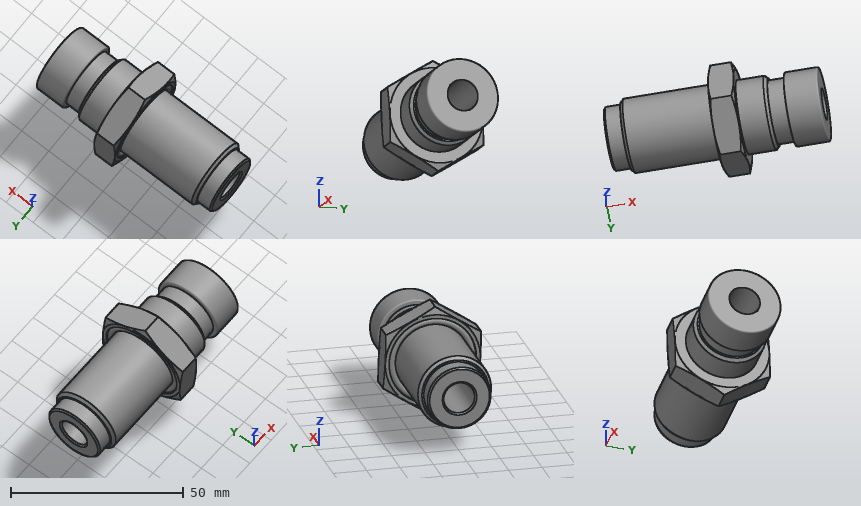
import cadquery as cq
import math

length = 63.5
insert_start = -length / 2
insert_end = length / 2
stub_length = 5.0
neck_length = 4.95
head_length = 10.05
housing_start = insert_start + stub_length
head_start = insert_end - head_length
housing_end = head_start - neck_length
hex_start = 0.05
hex_width = 7.6

barrel_radius = 11.0
barrel_chamfer = 0.95
hex_across_flats = 28.6
hex_turn = 3.0
hex_chamfer_depth = 0.75
hex_corner_radius = hex_across_flats / 2 / math.cos(math.radians(30))
hex_face_radius = hex_across_flats / 2 - 0.05

ring_outer_radius = 13.1
ring_section_radius = (ring_outer_radius - barrel_radius) / 2
ring_centre_radius = barrel_radius + ring_section_radius
groove_depth = 2 * ring_section_radius

tube_radius = 9.45
head_radius = barrel_radius
bore_radius = 4.65
stub_chamfer = 0.5
bore_chamfer = 0.5
head_rounding = 0.5


def cylinder_x(start, end, radius):
    """Solid cylinder about the X axis."""
    return cq.Workplane("YZ").workplane(offset=start).circle(radius).extrude(end - start)


def make_hex_collar():
    """Hexagonal collar whose corners are bevelled on both faces."""
    collar = (
        cq.Workplane("YZ")
        .workplane(offset=hex_start)
        .transformed(rotate=(0, 0, 90 + hex_turn))
        .polygon(6, 2 * hex_corner_radius)
        .extrude(hex_width)
    )
    hex_end = hex_start + hex_width
    bevel_envelope = (
        cq.Workplane("XY")
        .moveTo(hex_start, 0)
        .lineTo(hex_start, hex_face_radius)
        .lineTo(hex_start + hex_chamfer_depth, hex_corner_radius)
        .lineTo(hex_end - hex_chamfer_depth, hex_corner_radius)
        .lineTo(hex_end, hex_face_radius)
        .lineTo(hex_end, 0)
        .close()
        .revolve(360, (0, 0, 0), (1, 0, 0))
    )
    return collar.intersect(bevel_envelope)


def make_housing():
    """Chamfered barrel and collar, with the ring groove and the through hole for the insert."""
    barrel = cylinder_x(housing_start, housing_end, barrel_radius).edges().chamfer(barrel_chamfer)
    groove_end = hex_start + groove_depth
    groove = cylinder_x(hex_start, groove_end, ring_outer_radius).cut(
        cylinder_x(hex_start, groove_end, barrel_radius)
    )
    through_hole = cylinder_x(housing_start, housing_end, tube_radius)
    return barrel.union(make_hex_collar()).cut(groove).cut(through_hole)


def make_sealing_ring():
    """Round-section ring that fills the width and depth of the groove."""
    return (
        cq.Workplane("XY")
        .center(hex_start + ring_section_radius, ring_centre_radius)
        .circle(ring_section_radius)
        .revolve(360, (0, -ring_centre_radius, 0), (1, -ring_centre_radius, 0))
    )


def make_insert():
    """Tube with a rounded head at +X and a bore along its full length."""
    tube = cylinder_x(insert_start, head_start, tube_radius).faces("<X").chamfer(stub_chamfer)
    head = cylinder_x(head_start, insert_end, head_radius).edges().fillet(head_rounding)
    bore = cylinder_x(insert_start, insert_end, bore_radius)
    bore_entry = cq.Workplane(
        cq.Solid.makeCone(
            bore_radius + bore_chamfer,
            bore_radius,
            bore_chamfer,
            pnt=cq.Vector(insert_start, 0, 0),
            dir=cq.Vector(1, 0, 0),
        )
    )
    return tube.union(head).cut(bore).cut(bore_entry)


housing = make_housing()
sealing_ring = make_sealing_ring()
insert = make_insert()

result = cq.Compound.makeCompound([housing.val(), sealing_ring.val(), insert.val()])